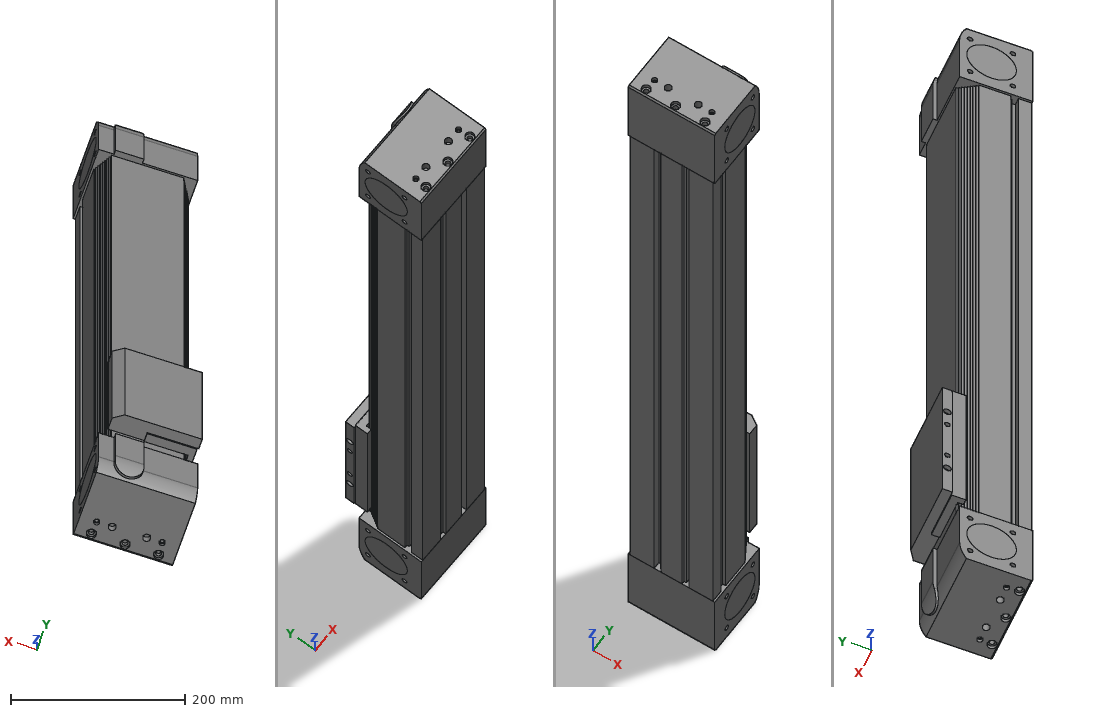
import cadquery as cq

TOTAL_LENGTH = 1046.0
BLOCK_WIDTH = 120.0
BLOCK_LENGTH = 99.0
BLOCK_DEPTH = 91.0
CORNER_DROP = 8.0
CORNER_LENGTH = 27.0
FRONT_CHAMFER = 2.0

BULGE_X = 24.0
BULGE_WIDTH = 35.0
BULGE_HEIGHT = 5.0
BULGE_CORNER_DROP = 12.0
BULGE_CORNER_LENGTH = 33.0
BULGE_END_GAP = 4.0

CAP_DIAMETER = 62.0
CAP_THICKNESS = 5.0
CAP_Y = 51.0
CAP_FROM_END = 50.0
SIDE_HOLE_DIAMETERS = (6.7, 4.0)
SIDE_HOLE_SPAN_Y = 53.0
SIDE_HOLE_SPAN_Z = 64.0

MOUTH_DEPTH = 5.0
HOLE_DEPTH = 13.0

PLAIN_HOLE_DIAMETER = 9.0
PLAIN_HOLE_X = 21.0
STEPPED_HOLE_DIAMETERS = (7.0, 4.0)
STEPPED_HOLE_X = 40.0
END_HOLE_Y = 24.0
MOUNTING_HOLE_DIAMETERS = (12.0, 6.7)
MOUNTING_HOLE_PITCH = 41.0
MOUNTING_HOLE_Y = 8.0

PROFILE_WIDTH = 115.0
PROFILE_DEPTH = 89.0
SHOULDER_Y = 66.0
FLANK_STEPS = 8
FLANK_INSET = 14.0

GROOVE_WIDTH = 9.0
GROOVE_LEDGE = 3.0
GROOVE_LEDGE_DEPTH = 4.0
GROOVE_DEPTH = 9.0
FRONT_GROOVE_X = 15.0
SIDE_GROOVE_Y = 17.0

CARRIAGE_Z = 224.0
PLATE_LENGTH = 200.0
PLATE_LEFT = -59.0
PLATE_RIGHT = 48.0
PLATE_TOP = 112.0
PLATE_CHAMFER_X = 13.0
PLATE_CHAMFER_Y = 8.0
PLATE_HOLE_Y = 106.0
OUTER_PLATE_HOLE = ((9.6, 6.7), 55.0)
INNER_PLATE_HOLE = ((7.0, 4.0), 30.0)
SLIDE_LENGTH = 206.0
SLIDE_LEFT = -56.0
SLIDE_RIGHT = 4.0
SLIDE_TOP = 99.0
SKIRT_BOTTOM = 82.0
SKIRT_THICKNESS = 7.0
SLIDE_HOLE_DIAMETERS = (10.0, 4.9)
SLIDE_HOLE_X = -25.0
SLIDE_HOLE_Y = 95.0

MIDDLE_Z = TOTAL_LENGTH / 2
BLOCK_START = TOTAL_LENGTH - BLOCK_LENGTH
CAP_Z = TOTAL_LENGTH - CAP_FROM_END


def box(x0, x1, y0, y1, z0, z1):
    """Box between two opposite corners."""
    return cq.Workplane("XY").box(x1 - x0, y1 - y0, z1 - z0, centered=False).translate((x0, y0, z0))


def cylinder(point, direction, diameter, length):
    """Cylinder that starts at a point and runs along a direction."""
    return cq.Workplane(
        cq.Solid.makeCylinder(diameter / 2, length, cq.Vector(*point), cq.Vector(*direction))
    )


def stepped_hole(point, direction, diameters):
    """Cutter for a stepped hole that starts at a point on a face."""
    mouth, bore = diameters
    return cylinder(point, direction, mouth, MOUTH_DEPTH).union(
        cylinder(point, direction, bore, HOLE_DEPTH)
    )


def rounded_block(depth, corner_drop, corner_length):
    """Solid block at the upper end, its back running into the end face in a tangent arc."""
    outline = (
        cq.Workplane("YZ")
        .moveTo(0, BLOCK_START)
        .lineTo(depth, BLOCK_START)
        .lineTo(depth, TOTAL_LENGTH - corner_length)
        .tangentArcPoint((depth - corner_drop, TOTAL_LENGTH), relative=False)
        .lineTo(FRONT_CHAMFER, TOTAL_LENGTH)
        .lineTo(0, TOTAL_LENGTH - FRONT_CHAMFER)
        .close()
    )
    return outline.extrude(BLOCK_WIDTH / 2, both=True)


def belt_bulge():
    """Raised band with a round end that follows the back of the end block."""
    radius = BULGE_WIDTH / 2
    round_centre = TOTAL_LENGTH - BULGE_END_GAP - radius
    y0 = CAP_Y
    y1 = BLOCK_DEPTH + BULGE_HEIGHT
    footprint = box(BULGE_X - radius, BULGE_X + radius, y0, y1, BLOCK_START, round_centre).union(
        cylinder((BULGE_X, y0, round_centre), (0, 1, 0), BULGE_WIDTH, y1 - y0)
    )
    return footprint.intersect(rounded_block(y1, BULGE_CORNER_DROP, BULGE_CORNER_LENGTH))


def pulley_cap(side):
    """Flush round cap in the -X (side = -1) or +X (side = 1) face of the upper block."""
    return cylinder((side * BLOCK_WIDTH / 2, CAP_Y, CAP_Z), (-side, 0, 0), CAP_DIAMETER, CAP_THICKNESS)


def end_block():
    """Upper end block with cap recesses, screw holes and end-face holes."""
    block = rounded_block(BLOCK_DEPTH, CORNER_DROP, CORNER_LENGTH).union(belt_bulge())
    for side in (-1, 1):
        block = block.cut(pulley_cap(side))
        for dy in (-SIDE_HOLE_SPAN_Y / 2, SIDE_HOLE_SPAN_Y / 2):
            for dz in (-SIDE_HOLE_SPAN_Z / 2, SIDE_HOLE_SPAN_Z / 2):
                start = (side * BLOCK_WIDTH / 2, CAP_Y + dy, CAP_Z + dz)
                block = block.cut(stepped_hole(start, (-side, 0, 0), SIDE_HOLE_DIAMETERS))
        plain_start = (side * PLAIN_HOLE_X, END_HOLE_Y, TOTAL_LENGTH)
        block = block.cut(cylinder(plain_start, (0, 0, -1), PLAIN_HOLE_DIAMETER, HOLE_DEPTH))
        stepped_start = (side * STEPPED_HOLE_X, END_HOLE_Y, TOTAL_LENGTH)
        block = block.cut(stepped_hole(stepped_start, (0, 0, -1), STEPPED_HOLE_DIAMETERS))
    for column in (-1, 0, 1):
        start = (column * MOUNTING_HOLE_PITCH, MOUNTING_HOLE_Y, TOTAL_LENGTH)
        block = block.cut(stepped_hole(start, (0, 0, -1), MOUNTING_HOLE_DIAMETERS))
    return block


def to_lower_end(body):
    """Mirror image of an upper-end body at the lower end."""
    return body.mirror("XY", (0, 0, MIDDLE_Z))


def profile():
    """Extruded profile with stepped flanks and stepped grooves."""
    z0 = BLOCK_LENGTH
    z1 = BLOCK_START
    half = PROFILE_WIDTH / 2
    body = box(-half, half, 0, SHOULDER_Y, z0, z1)

    step_height = (PROFILE_DEPTH - SHOULDER_Y) / FLANK_STEPS
    for step in range(FLANK_STEPS):
        step_half = half - FLANK_INSET * (step + 1) / FLANK_STEPS
        y = SHOULDER_Y + step * step_height
        body = body.union(box(-step_half, step_half, y, y + step_height, z0, z1))

    for wall, depth in ((GROOVE_WIDTH, GROOVE_LEDGE_DEPTH), (GROOVE_WIDTH - GROOVE_LEDGE, GROOVE_DEPTH)):
        outer_x = FRONT_GROOVE_X + GROOVE_WIDTH
        front = box(outer_x - wall, outer_x, 0, depth, z0, z1)
        flank = box(half - depth, half, SIDE_GROOVE_Y, SIDE_GROOVE_Y + wall, z0, z1)
        for groove in (front, flank):
            body = body.cut(groove).cut(groove.mirror("YZ"))
    return body


def carriage_plate():
    """Mounting plate of the carriage, with one low and one raised underside."""
    outline = [
        (PLATE_LEFT, SLIDE_TOP),
        (SLIDE_RIGHT, SLIDE_TOP),
        (SLIDE_RIGHT, PROFILE_DEPTH),
        (PLATE_RIGHT, PROFILE_DEPTH),
        (PLATE_RIGHT, PLATE_TOP - PLATE_CHAMFER_Y),
        (PLATE_RIGHT - PLATE_CHAMFER_X, PLATE_TOP),
        (PLATE_LEFT, PLATE_TOP),
    ]
    plate = cq.Workplane("XY").polyline(outline).close().extrude(PLATE_LENGTH)
    plate = plate.translate((0, 0, CARRIAGE_Z - PLATE_LENGTH / 2))
    for diameters, offset in (OUTER_PLATE_HOLE, INNER_PLATE_HOLE):
        for z in (CARRIAGE_Z - offset, CARRIAGE_Z + offset):
            plate = plate.cut(stepped_hole((PLATE_LEFT, PLATE_HOLE_Y, z), (1, 0, 0), diameters))
    return plate


def guide_slide():
    """Slide under the plate, with a skirt that reaches down beside the profile."""
    z0 = CARRIAGE_Z - SLIDE_LENGTH / 2
    z1 = CARRIAGE_Z + SLIDE_LENGTH / 2
    slide = box(SLIDE_LEFT, SLIDE_RIGHT, PROFILE_DEPTH, SLIDE_TOP, z0, z1)
    slide = slide.union(
        box(SLIDE_LEFT, SLIDE_LEFT + SKIRT_THICKNESS, SKIRT_BOTTOM, SLIDE_TOP, z0, z1)
    )
    start = (SLIDE_HOLE_X, SLIDE_HOLE_Y, z1)
    return slide.cut(stepped_hole(start, (0, 0, -1), SLIDE_HOLE_DIAMETERS))


upper_block = end_block()
blocks = [upper_block, to_lower_end(upper_block)]
caps = []
for cap_side in (-1, 1):
    upper_cap = pulley_cap(cap_side)
    caps += [upper_cap, to_lower_end(upper_cap)]

result = cq.Compound.makeCompound(
    [
        profile().val(),
        *[block.val() for block in blocks],
        *[cap.val() for cap in caps],
        carriage_plate().val(),
        guide_slide().val(),
    ]
)